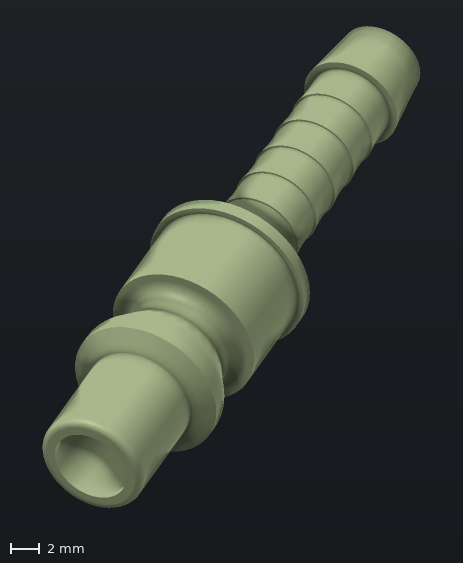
import cadquery as cq
import math

length = 47.0

tail_radius = 3.0
tail_length = 24.0
end_barb_radius = 3.6
end_barb_length = 5.0
ridge_radius = 3.15
ridge_length = 1.5
ridge_pitch = 3.0
ridge_count = 5
first_ridge_peak = 8.0

flange_diameter = 12.0
flange_radius = flange_diameter / 2
flange_width = 1.0
body_radius = 5.5
body_length = 7.0

plug_diameter = 7.85
plug_radius = plug_diameter / 2
neck_fillet = 1.0
neck_length = 1.97
collar_front = 8.0
rear_slope = math.radians(30)
front_slope = math.radians(60)
collar_round = 2.25
tip_round = 0.5

tail_bore_radius = 2.4
plug_bore_radius = 2.75

hose_end = length / 2
tip = -length / 2
flange_back = hose_end - tail_length
body_back = flange_back - flange_width
body_face = body_back - body_length
collar_start = body_face - neck_length
collar_end = tip + collar_front

collar_rise = body_radius - plug_radius
rear_corner = collar_start - collar_rise / math.tan(rear_slope)
front_corner = collar_end + collar_rise / math.tan(front_slope)
round_reach = collar_round * math.tan(rear_slope / 2)
round_start = (
    body_radius - round_reach * math.sin(rear_slope),
    rear_corner + round_reach * math.cos(rear_slope),
)
round_end = (body_radius, rear_corner - round_reach)
round_middle = (
    body_radius - collar_round * (1 - math.cos(rear_slope / 2)),
    round_end[1] + collar_round * math.sin(rear_slope / 2),
)

quarter_arc_inset = 1 - math.cos(math.radians(45))


def add_ridge(outline, peak):
    """Continue the outline along a taper that rises to a sharp step."""
    return (
        outline.lineTo(tail_radius, peak + ridge_length)
        .lineTo(ridge_radius, peak)
        .lineTo(tail_radius, peak)
    )


def hose_tail(outline):
    """Tapered end barb followed by the evenly spaced ridges."""
    barb_step = hose_end - end_barb_length
    outline = (
        outline.lineTo(tail_radius, hose_end)
        .lineTo(end_barb_radius, barb_step)
        .lineTo(tail_radius, barb_step)
    )
    for index in range(ridge_count):
        outline = add_ridge(outline, hose_end - first_ridge_peak - index * ridge_pitch)
    return outline.lineTo(tail_radius, flange_back)


def flange_and_body(outline):
    """Thin flange and the cylindrical body in front of it."""
    return (
        outline.lineTo(flange_radius, flange_back)
        .lineTo(flange_radius, body_back)
        .lineTo(body_radius, body_back)
        .lineTo(body_radius, body_face)
    )


def plug(outline):
    """Filleted neck, locking collar and round-edged tip."""
    neck_inset = neck_fillet * quarter_arc_inset
    tip_inset = tip_round * quarter_arc_inset
    return (
        outline.lineTo(plug_radius + neck_fillet, body_face)
        .threePointArc(
            (plug_radius + neck_inset, body_face - neck_inset),
            (plug_radius, body_face - neck_fillet),
        )
        .lineTo(plug_radius, collar_start)
        .lineTo(*round_start)
        .threePointArc(round_middle, round_end)
        .lineTo(body_radius, front_corner)
        .lineTo(plug_radius, collar_end)
        .lineTo(plug_radius, tip + tip_round)
        .threePointArc(
            (plug_radius - tip_inset, tip + tip_inset),
            (plug_radius - tip_round, tip),
        )
    )


section = cq.Workplane("XY").moveTo(tail_bore_radius, hose_end)
section = hose_tail(section)
section = flange_and_body(section)
section = plug(section)
section = (
    section.lineTo(plug_bore_radius, tip)
    .lineTo(plug_bore_radius, body_back)
    .lineTo(tail_bore_radius, body_back)
    .close()
)

result = section.revolve(360, (0, 0, 0), (0, 1, 0))